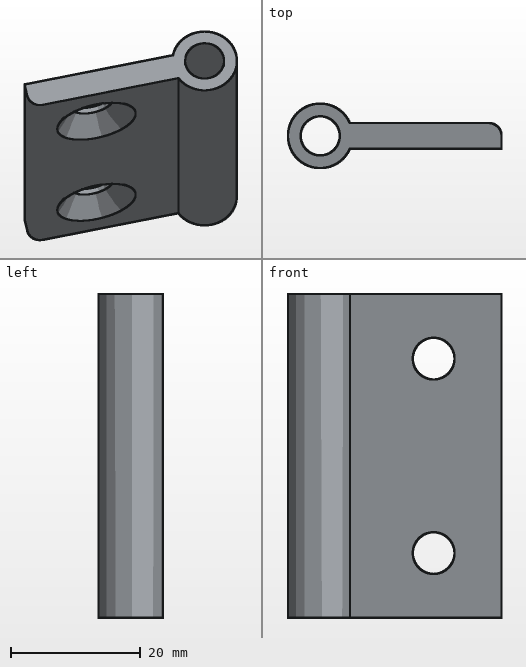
import cadquery as cq
import math

height = 50
barrel_diameter = 10
bore_diameter = 6

leaf_reach = 28
leaf_thickness = 4
edge_radius = 2

hole_diameter = 6.4
hole_offset = 17.5
hole_end_margin = 10
hole_land = 1
countersink_angle = 90


def make_leaf():
    """Plate centred on the barrel axis, rounded on the back of its free edge."""
    plate = cq.Workplane("XY").box(leaf_reach, leaf_thickness, height, centered=(False, True, False))
    return plate.edges("|Z and >X and >Y").fillet(edge_radius)


def drill_screw_holes(body):
    """Screw holes along Y: a short straight land at the front, then a cone opening to the back face."""
    front = -leaf_thickness / 2
    back = leaf_thickness / 2
    hole_radius = hole_diameter / 2
    cone_depth = leaf_thickness - hole_land
    mouth_radius = hole_radius + cone_depth * math.tan(math.radians(countersink_angle / 2))
    cutter_profile = [
        (0, front),
        (hole_radius, front),
        (hole_radius, front + hole_land),
        (mouth_radius, back),
        (0, back),
    ]
    cutter = cq.Workplane("XY").polyline(cutter_profile).close().revolve(360, (0, 0), (0, 1))
    for hole_height in (hole_end_margin, height - hole_end_margin):
        body = body.cut(cutter.translate((hole_offset, 0, hole_height)))
    return body


barrel = cq.Workplane("XY").circle(barrel_diameter / 2).extrude(height)
bore = cq.Workplane("XY").circle(bore_diameter / 2).extrude(height)
result = drill_screw_holes(barrel.union(make_leaf()).cut(bore))